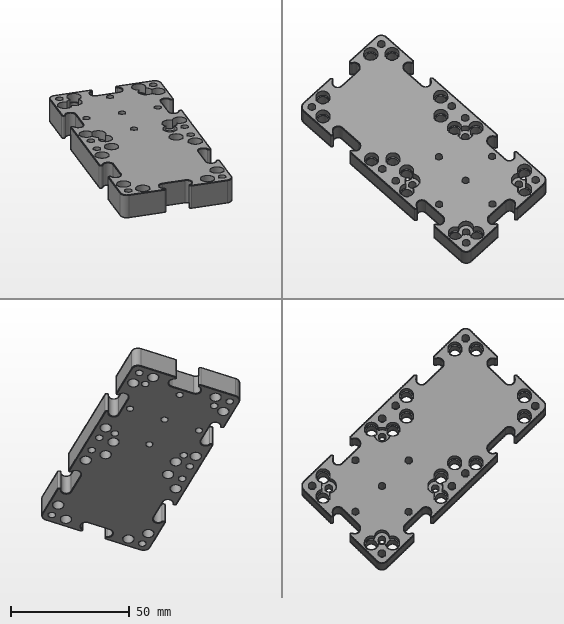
import cadquery as cq
import math

length = 99.6
width = 49.8
thickness = 11.0
corner_radius = 3.0
edge_chamfer = 0.3

notch_floor_length = 10.0
notch_end_radius = 2.2
lip_radius = 0.8
lip_spacing = 12.0

module_size = length / 2
left_module_x = -module_size / 2
module_centres = (left_module_x, -left_module_x)

corner_hole_offset = 20.9
corner_hole_diameter = 3.2
bore_far_offset = 20.8
bore_near_offset = 14.4
bore_diameter = 4.8
counterbore_diameter = 6.0

grid_pitch = 15.9
grid_hole_diameter = 3.0
pocket_hole_diameter = 3.2
pocket_diameter = 6.4

recess_depth = 4.0

signs = (-1, 1)


def notch_cutter():
    """Notch that opens towards +Y, with the plate edge on the X axis."""
    half_floor = notch_floor_length / 2
    half_lip = lip_spacing / 2

    centre_distance = notch_end_radius + lip_radius
    centre_dx = half_lip - half_floor
    centre_dy = math.sqrt(centre_distance**2 - centre_dx**2)
    end_y = -lip_radius - centre_dy
    floor_y = end_y - notch_end_radius
    joint_x = half_floor + centre_dx * notch_end_radius / centre_distance
    joint_y = end_y + centre_dy * notch_end_radius / centre_distance

    return (
        cq.Workplane("XY")
        .moveTo(half_lip, 0)
        .threePointArc((half_lip - lip_radius, -lip_radius), (joint_x, joint_y))
        .threePointArc((half_floor + notch_end_radius, end_y), (half_floor, floor_y))
        .lineTo(-half_floor, floor_y)
        .threePointArc((-half_floor - notch_end_radius, end_y), (-joint_x, joint_y))
        .threePointArc((-half_lip + lip_radius, -lip_radius), (-half_lip, 0))
        .close()
        .extrude(thickness)
    )


def drill(points, diameter, depth=thickness):
    """Cylinders that reach down from the top face at the given points."""
    return (
        cq.Workplane("XY", origin=(0, 0, thickness - depth))
        .pushPoints(points)
        .circle(diameter / 2)
        .extrude(depth)
    )


def mirrored(centre_x, offset_x, offset_y):
    """The four points at +/- the offsets around (centre_x, 0)."""
    return [(centre_x + sx * offset_x, sy * offset_y) for sx in signs for sy in signs]


plate = cq.Workplane("XY").box(length, width, thickness, centered=(True, True, False))
plate = plate.edges("|Z").fillet(corner_radius)

for module_x in module_centres:
    long_side_notch = notch_cutter().translate((module_x, width / 2, 0))
    plate = plate.cut(long_side_notch)
    plate = plate.cut(long_side_notch.mirror("XZ"))
short_side_notch = notch_cutter().rotate((0, 0, 0), (0, 0, 1), -90)
short_side_notch = short_side_notch.translate((length / 2, 0, 0))
plate = plate.cut(short_side_notch)
plate = plate.cut(short_side_notch.mirror("YZ"))

plate = plate.faces("<Z or >Z").chamfer(edge_chamfer)

for module_x in module_centres:
    corner_points = mirrored(module_x, corner_hole_offset, corner_hole_offset)
    bore_points = mirrored(module_x, bore_far_offset, bore_near_offset)
    bore_points += mirrored(module_x, bore_near_offset, bore_far_offset)
    plate = plate.cut(drill(corner_points, corner_hole_diameter))
    plate = plate.cut(drill(bore_points, bore_diameter))
    plate = plate.cut(drill(bore_points, counterbore_diameter, recess_depth))

cross_points = [(left_module_x, 0)]
cross_points += [(left_module_x + sign * grid_pitch, 0) for sign in signs]
cross_points += [(left_module_x, sign * grid_pitch) for sign in signs]
pocket_points = mirrored(left_module_x, grid_pitch, grid_pitch)
plate = plate.cut(drill(cross_points, grid_hole_diameter))
plate = plate.cut(drill(pocket_points, pocket_hole_diameter))
plate = plate.cut(drill(pocket_points, pocket_diameter, recess_depth))

result = plate